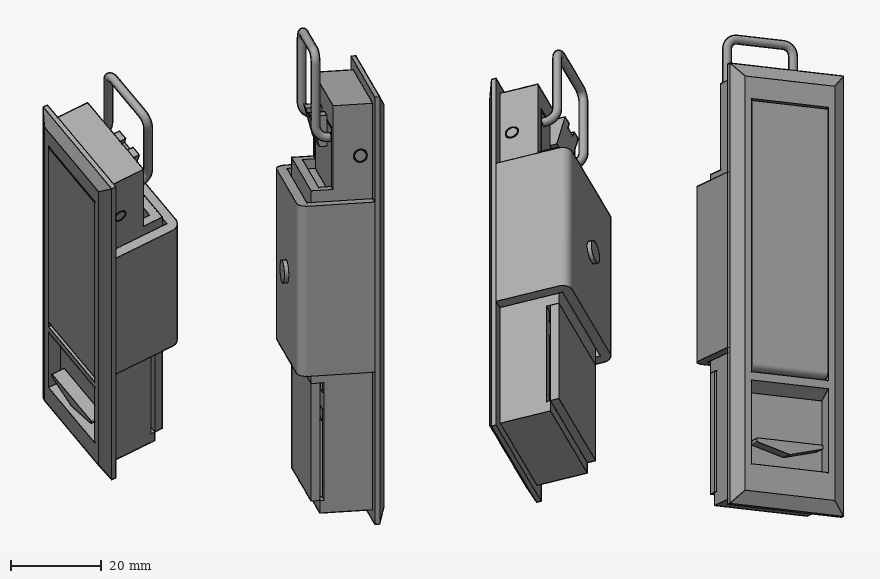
import cadquery as cq
import math


bezel_width = 28.0
bezel_height = 100.0
bezel_depth = 2.6
bezel_bevel_inset = 3.0
bezel_bevel_depth = 1.5

body_width = 22.9
body_bottom = 2.5
body_top = 97.7
body_shallow_depth = 11.5
body_depth = 16.5
step_z = 78.1

cavity_width = 18.9
cavity_bottom = 30.0
cavity_top = 92.1
cavity_depth = 14.4
handle_side_gap = 0.1
handle_top_gap = 0.4
handle_bottom_gap = 0.5
handle_depth = 14.0
handle_shoulder_z = 75.9
handle_shoulder_round = 1.5
handle_lip_round = 1.3

pivot_y = 5.4
pivot_z = 85.6
pivot_hole_diameter = 3.1
trunnion_diameter = 2.6

lug_width = 8.1
lug_bottom = 85.7
lug_top = 93.0
lug_bottom_y = 13.2
lug_top_y = 15.2
lug_groove_width = 3.0
lug_groove_depth = 1.1

wire_diameter = 2.0
bail_top = 110.0
bail_limb_x = 8.1
bail_y = 14.8
bail_end_z = 89.2
bail_top_bend = 2.4
bail_end_bend = 2.9
bail_hole_depth = 2.2

window_bottom = 9.1
window_top = 28.2
window_floor_top = 26.1
window_depth = 3.2
recess_bottom = 5.5
recess_top = 33.0
recess_floor_y = 13.5
plate_front_y = 14.5
neck_top = 23.4
neck_rear_width = 15.4

ridge_width = 16.3
ridge_top = 15.2
ridge_shoulder = 14.3
ridge_tip = 12.2
ridge_round = 0.3

bracket_bottom = 35.6
bracket_top = 75.5
bracket_depth = 19.8
bracket_wall = 2.3
knob_diameter = 5.2
knob_height = 1.0


def box(width, y_front, y_rear, z_bottom, z_top):
    """Box centred on X = 0 between the given Y and Z limits."""
    size_y = y_rear - y_front
    size_z = z_top - z_bottom
    block = cq.Workplane("XY").box(width, size_y, size_z, centered=(True, False, False))
    return block.translate((0, y_front, z_bottom))


def side_profile(points, width):
    """Outline of (Y, Z) points extruded symmetrically across X."""
    return cq.Workplane("YZ").polyline(points).close().extrude(width / 2, both=True)


def pivot_rod(diameter):
    """Rod on the pivot axis, as long as the housing body is wide."""
    return (
        cq.Workplane("YZ").center(pivot_y, pivot_z)
        .circle(diameter / 2).extrude(body_width / 2, both=True)
    )


def make_bezel():
    bevel_angle = math.degrees(math.atan2(bezel_bevel_inset, bezel_bevel_depth))
    rim = box(bezel_width, bezel_bevel_depth, bezel_depth, 0, bezel_height)
    bevel = (
        cq.Workplane("XZ", origin=(0, bezel_bevel_depth, bezel_height / 2))
        .rect(bezel_width, bezel_height)
        .extrude(bezel_bevel_depth, taper=bevel_angle)
    )
    return rim.union(bevel)


def make_window():
    """Through opening for the slider, with a sloping upper wall at the front."""
    mouth = side_profile(
        [
            (0, window_bottom),
            (0, window_top),
            (window_depth, window_floor_top),
            (window_depth, window_bottom),
        ],
        cavity_width,
    )
    passage = box(cavity_width, window_depth, recess_floor_y, window_bottom, window_floor_top)
    return mouth.union(passage)


def make_housing():
    body = side_profile(
        [
            (bezel_depth, body_bottom),
            (plate_front_y, body_bottom),
            (plate_front_y, recess_bottom),
            (recess_floor_y, recess_bottom),
            (recess_floor_y, recess_top),
            (body_depth, recess_top),
            (body_depth, step_z),
            (body_shallow_depth, step_z),
            (body_shallow_depth, body_top),
            (bezel_depth, body_top),
        ],
        body_width,
    )
    cavity = box(cavity_width, 0, cavity_depth, cavity_bottom, cavity_top)
    return make_bezel().union(body).cut(cavity).cut(make_window()).cut(pivot_rod(pivot_hole_diameter))


def make_lug():
    lug = side_profile(
        [
            (body_shallow_depth, lug_bottom),
            (lug_bottom_y, lug_bottom),
            (lug_top_y, lug_top),
            (body_shallow_depth, lug_top),
        ],
        lug_width,
    )
    groove = box(lug_groove_width, body_shallow_depth, lug_top_y, lug_top - lug_groove_depth, lug_top)
    return lug.cut(groove)


def make_handle():
    width = cavity_width - 2 * handle_side_gap
    bottom = cavity_bottom + handle_bottom_gap
    top = cavity_top - handle_top_gap
    upper = box(width, 0, body_shallow_depth, bottom, top)
    upper = upper.edges("<Y and <Z").fillet(handle_lip_round)
    lower = box(width, handle_lip_round, handle_depth, bottom, handle_shoulder_z)
    lower = lower.edges(">Y and >Z").fillet(handle_shoulder_round)
    handle = upper.union(lower).union(pivot_rod(trunnion_diameter)).union(make_lug())
    bail_holes = (
        cq.Workplane("XZ", origin=(0, body_shallow_depth, bail_end_z))
        .pushPoints([(-bail_limb_x, 0), (bail_limb_x, 0)])
        .circle(wire_diameter / 2).extrude(bail_hole_depth)
    )
    return handle.cut(bail_holes)


def make_bail():
    """Round wire: up from the handle, across the top and back down into the handle."""
    crossbar_z = bail_top - wire_diameter / 2
    end_y = body_shallow_depth - bail_hole_depth
    tangent_gap = 1 - math.sqrt(0.5)
    end_gap = tangent_gap * bail_end_bend
    top_gap = tangent_gap * bail_top_bend

    left_half = [
        (-bail_limb_x, end_y, bail_end_z),
        (-bail_limb_x, bail_y - bail_end_bend, bail_end_z),
        (-bail_limb_x, bail_y - end_gap, bail_end_z + end_gap),
        (-bail_limb_x, bail_y, bail_end_z + bail_end_bend),
        (-bail_limb_x, bail_y, crossbar_z - bail_top_bend),
        (-bail_limb_x + top_gap, bail_y, crossbar_z - top_gap),
        (-bail_limb_x + bail_top_bend, bail_y, crossbar_z),
    ]
    right_half = [(-x, y, z) for x, y, z in reversed(left_half)]
    points = [cq.Vector(*point) for point in left_half + right_half]

    edges = []
    points_per_bend = 3
    for start in range(0, len(points) - 2, points_per_bend):
        straight_start, bend_start, bend_middle, bend_end = points[start:start + points_per_bend + 1]
        edges.append(cq.Edge.makeLine(straight_start, bend_start))
        edges.append(cq.Edge.makeThreePointArc(bend_start, bend_middle, bend_end))
    edges.append(cq.Edge.makeLine(points[-2], points[-1]))

    path = cq.Wire.assembleEdges(edges)
    section = cq.Workplane("XZ", origin=left_half[0]).circle(wire_diameter / 2)
    return section.sweep(path)


def make_ridge():
    half = ridge_width / 2
    ridge = (
        cq.Workplane("XZ")
        .polyline(
            [
                (-half, ridge_top),
                (half, ridge_top),
                (half, ridge_shoulder),
                (0, ridge_tip),
                (-half, ridge_shoulder),
            ]
        )
        .close().extrude(-window_depth)
    )
    return ridge.edges("|Y and (<X or >X)").fillet(ridge_round)


def make_slider():
    block = box(cavity_width, window_depth, recess_floor_y, window_bottom, window_floor_top)
    neck = (
        cq.Workplane("XY", origin=(0, 0, recess_bottom))
        .polyline(
            [
                (-cavity_width / 2, recess_floor_y),
                (cavity_width / 2, recess_floor_y),
                (neck_rear_width / 2, plate_front_y),
                (-neck_rear_width / 2, plate_front_y),
            ]
        )
        .close().extrude(neck_top - recess_bottom)
    )
    plate = box(body_width, plate_front_y, body_depth, recess_bottom, recess_top)
    return block.union(make_ridge()).union(neck).union(plate)


def make_bracket():
    outer = box(bezel_width, bezel_depth, bracket_depth, bracket_bottom, bracket_top)
    outer = outer.edges("|Z and >Y").fillet(bracket_wall)
    inner = box(
        bezel_width - 2 * bracket_wall,
        bezel_depth,
        bracket_depth - bracket_wall,
        bracket_bottom,
        bracket_top,
    )
    knob_z = (bracket_bottom + bracket_top) / 2
    knob = (
        cq.Workplane("XZ", origin=(0, bracket_depth, knob_z))
        .circle(knob_diameter / 2).extrude(-knob_height)
    )
    return outer.cut(inner).union(knob)


housing = make_housing()
handle = make_handle()
bail = make_bail()
slider = make_slider()
bracket = make_bracket()

result = cq.Compound.makeCompound(
    [housing.val(), handle.val(), bail.val(), slider.val(), bracket.val()]
)